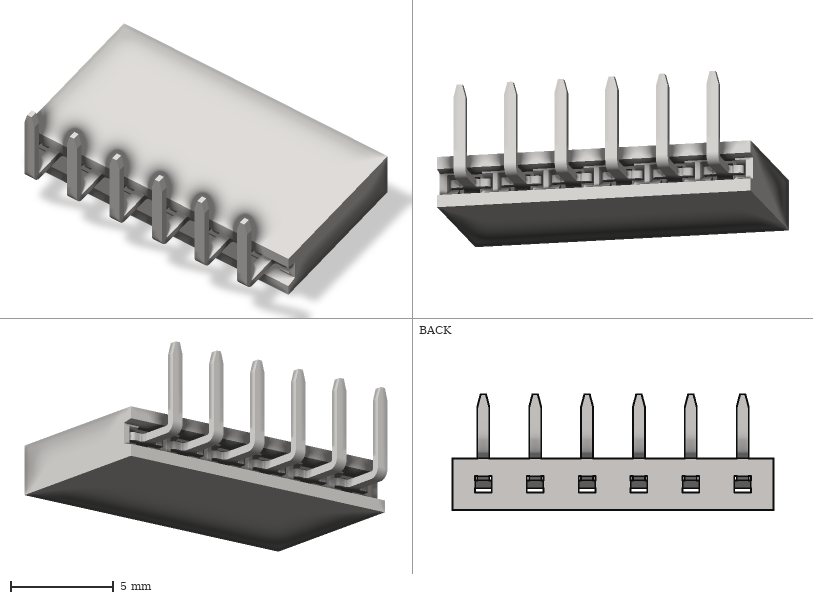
import cadquery as cq

CONTACT_COUNT = 6
PITCH = 2.54
WIDTH = 15.74
DEPTH = 8.5
HEIGHT = 2.53
MID_Z = HEIGHT / 2

LIP_DEPTH = 0.57
LIP_TIP = 0.61
LIP_ROOT = 0.72

WINDOW = 0.8
LEAD_IN_WIDTH = 2.3
LEAD_IN_HEIGHT = 0.91
LEAD_IN_DEPTH = 0.47
CHANNEL_WIDTH = 1.23
CHANNEL_HEIGHT = HEIGHT - 2 * LIP_ROOT

THICKNESS = 0.4
BAR_WIDTH = 2.01
BAR_LENGTH = 0.95
BAR_CORNER = 0.2
BAR_FRONT = LIP_DEPTH
BAR_BACK = BAR_FRONT + BAR_LENGTH
PIN_WIDTH = 0.6
PIN_REACH = 1.8
PIN_TOP = 5.68
PIN_UNDERSIDE = MID_Z - THICKNESS / 2
TIP_WIDTH = 0.27
TIP_LENGTH = 0.63
INNER_BEND = 0.13
OUTER_BEND = INNER_BEND + THICKNESS
ROOT_FILLET = 0.15
NOTCH_WIDTH = 0.1
NOTCH_DEPTH = 0.05

CONTACT_X = [(i - (CONTACT_COUNT - 1) / 2) * PITCH for i in range(CONTACT_COUNT)]


def centred_block(width, y_front, y_back, height):
    """Block centred on X = 0 and on the housing's mid height."""
    block = cq.Workplane("XY").box(width, y_back - y_front, height)
    return block.translate((0, (y_front + y_back) / 2, MID_Z))


def housing_block():
    """Block with a flared trough along its front, leaving a lip above and below."""
    profile = [
        (0, 0),
        (0, LIP_TIP),
        (LIP_DEPTH, LIP_ROOT),
        (LIP_DEPTH, HEIGHT - LIP_ROOT),
        (0, HEIGHT - LIP_TIP),
        (0, HEIGHT),
        (DEPTH, HEIGHT),
        (DEPTH, 0),
    ]
    return cq.Workplane("YZ").polyline(profile).close().extrude(WIDTH / 2, both=True)


def contact_cavity():
    """Space cut for one contact, narrowing to a slot that holds the crossbar."""
    lead_in = (
        cq.Workplane("XZ", origin=(0, LIP_DEPTH, MID_Z))
        .rect(LEAD_IN_WIDTH, LEAD_IN_HEIGHT)
        .workplane(offset=-LEAD_IN_DEPTH)
        .rect(BAR_WIDTH, THICKNESS)
        .loft()
    )
    channel = centred_block(CHANNEL_WIDTH, LIP_DEPTH, LIP_DEPTH + LEAD_IN_DEPTH, CHANNEL_HEIGHT)
    slot = centred_block(BAR_WIDTH, LIP_DEPTH, BAR_BACK, THICKNESS)
    window = centred_block(WINDOW, LIP_DEPTH, DEPTH, WINDOW)
    return lead_in.union(channel).union(slot).union(window)


def make_housing():
    housing = housing_block()
    for x in CONTACT_X:
        housing = housing.cut(contact_cavity().translate((x, 0, 0)))
    return housing


def crossbar():
    """Flat bar with rounded front corners."""
    bar = centred_block(BAR_WIDTH, BAR_FRONT, BAR_BACK, THICKNESS)
    return bar.edges("|Z and <Y").fillet(BAR_CORNER)


def pin_root():
    """Flare that blends the pin's sides into the front of the crossbar."""
    half_pin = PIN_WIDTH / 2
    half_flare = half_pin + ROOT_FILLET
    flare_start = BAR_FRONT - ROOT_FILLET
    return (
        cq.Workplane("XY", origin=(0, 0, PIN_UNDERSIDE))
        .moveTo(-half_pin, flare_start)
        .radiusArc((-half_flare, BAR_FRONT), -ROOT_FILLET)
        .lineTo(half_flare, BAR_FRONT)
        .radiusArc((half_pin, flare_start), -ROOT_FILLET)
        .close()
        .extrude(THICKNESS)
    )


def relief_notches():
    """Shallow V notches in the front of the crossbar, one beside each root fillet."""
    inner = PIN_WIDTH / 2 + ROOT_FILLET
    notch = (
        cq.Workplane("XY", origin=(0, 0, PIN_UNDERSIDE))
        .moveTo(inner, BAR_FRONT)
        .lineTo(inner + NOTCH_WIDTH / 2, BAR_FRONT + NOTCH_DEPTH)
        .lineTo(inner + NOTCH_WIDTH, BAR_FRONT)
        .close()
        .extrude(THICKNESS)
    )
    return notch.union(notch.mirror("YZ"))


def bent_pin():
    """Strip that runs forward from the crossbar, bends upwards and narrows at its tip."""
    outer_y = -PIN_REACH
    inner_y = outer_y + THICKNESS
    upper_z = PIN_UNDERSIDE + THICKNESS
    strip = (
        cq.Workplane("YZ")
        .moveTo(BAR_FRONT, PIN_UNDERSIDE)
        .lineTo(outer_y + OUTER_BEND, PIN_UNDERSIDE)
        .radiusArc((outer_y, PIN_UNDERSIDE + OUTER_BEND), OUTER_BEND)
        .lineTo(outer_y, PIN_TOP)
        .lineTo(inner_y, PIN_TOP)
        .lineTo(inner_y, upper_z + INNER_BEND)
        .radiusArc((inner_y + INNER_BEND, upper_z), -INNER_BEND)
        .lineTo(BAR_FRONT, upper_z)
        .close()
        .extrude(PIN_WIDTH / 2, both=True)
    )
    side_wedge = (
        cq.Workplane("XZ", origin=(0, inner_y, 0))
        .moveTo(PIN_WIDTH / 2, PIN_TOP - TIP_LENGTH)
        .lineTo(TIP_WIDTH / 2, PIN_TOP)
        .lineTo(PIN_WIDTH / 2, PIN_TOP)
        .close()
        .extrude(THICKNESS)
    )
    return strip.cut(side_wedge).cut(side_wedge.mirror("YZ"))


def make_contact(x):
    contact = crossbar().cut(relief_notches()).union(pin_root()).union(bent_pin())
    return contact.translate((x, 0, 0))


housing = make_housing()
contacts = [make_contact(x) for x in CONTACT_X]
result = cq.Compound.makeCompound([housing.val(), *[contact.val() for contact in contacts]])